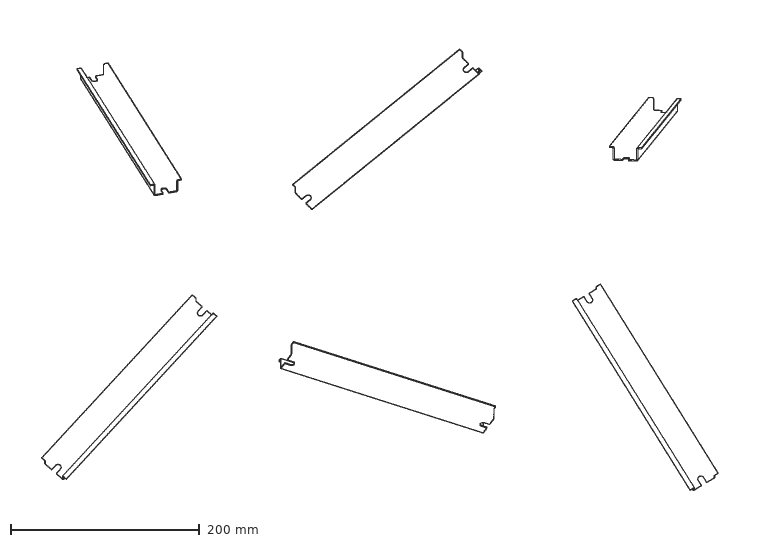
import cadquery as cq

length = 239.0
width = 35.0
height = 15.0

thickness = 1.5
channel_width = 27.0
inner_radius = 0.5
outer_radius = inner_radius + thickness

slot_width = 6.5
slot_depth = 9.5


def make_rail():
    """Bent hat section running along X, with a rounded bend at each web end."""
    outer = channel_width / 2
    inner = outer - thickness
    lip = width / 2
    lip_bottom = height - thickness
    profile = [
        (-lip, height),
        (-inner, height),
        (-inner, thickness),
        (inner, thickness),
        (inner, height),
        (lip, height),
        (lip, lip_bottom),
        (outer, lip_bottom),
        (outer, 0),
        (-outer, 0),
        (-outer, lip_bottom),
        (-lip, lip_bottom),
    ]
    rail = cq.Workplane("YZ").polyline(profile).close().extrude(length / 2, both=True)

    bends = [
        (outer, 0, outer_radius),
        (inner, thickness, inner_radius),
        (inner, height, outer_radius),
        (outer, lip_bottom, inner_radius),
    ]
    margin = thickness / 4
    for half_span, z, radius in bends:
        bend_box = cq.selectors.BoxSelector(
            (-length, -half_span - margin, z - margin),
            (length, half_span + margin, z + margin),
        )
        rail = rail.edges("|X").edges(bend_box).fillet(radius)
    return rail


def make_end_slots():
    """Round-ended cutters, one reaching in from each end of the floor."""
    return (
        cq.Workplane("XY")
        .pushPoints([(-length / 2, 0), (length / 2, 0)])
        .slot2D(2 * slot_depth, slot_width)
        .extrude(thickness)
    )


result = make_rail().cut(make_end_slots())